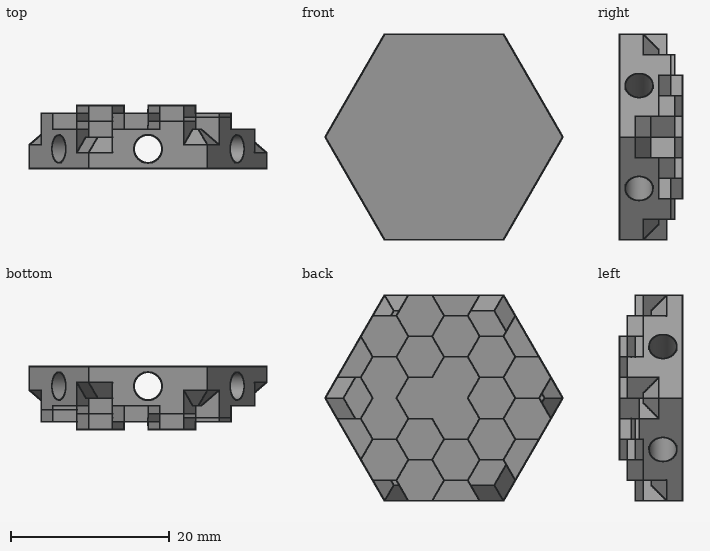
import cadquery as cq
import math

TILE_WIDTH = 30
CELL_RADIUS = TILE_WIDTH / 10
CELL_PITCH = CELL_RADIUS * math.sqrt(3)
COLUMN_PITCH = CELL_RADIUS * 1.5
FIRST_COLUMN = -TILE_WIDTH / 2
TILE_FLATS = TILE_WIDTH * math.sqrt(3) / 2

LEVEL = CELL_RADIUS / 3
BEVEL = 2 * LEVEL
HOLE_DIAMETER = 3.5
HOLE_HEIGHT = 2.5 * LEVEL

TERRAIN = [
    [5],
    [5, 5.5, 7, 5],
    [4, 6, 8, 6, 4],
    [5, 7, 6.5, 6.5, 7, 5],
    [6, 8, 6.5, 8, 6],
    [5, 6.5, 7, 7, 6.5, 5],
    [5, 4, 5],
]


def hexagon_prism(center, radius, height):
    """Hexagonal prism with corners on its X axis, standing on Y = 0."""
    return (
        cq.Workplane("XZ")
        .center(*center)
        .polygon(6, 2 * radius)
        .extrude(-height)
    )


def tile_block(height):
    return hexagon_prism((0, 0), TILE_WIDTH / 2, height)


def at_tile_corner(center):
    """True for the cells that cover one of the six tile corners."""
    corners = [
        (TILE_WIDTH / 2 * math.cos(i * math.pi / 3), TILE_WIDTH / 2 * math.sin(i * math.pi / 3))
        for i in range(6)
    ]
    return min(math.dist(center, corner) for corner in corners) < COLUMN_PITCH


def terrain_cell(center, height):
    """One cell trimmed to the tile outline, sloping down to the outline at the tile corners."""
    envelope = tile_block(height)
    if at_tile_corner(center):
        envelope = envelope.faces(">Y").chamfer(BEVEL)
    return hexagon_prism(center, CELL_RADIUS, height).intersect(envelope)


def terrain():
    lowest_rim = min(min(column) for column in TERRAIN) * LEVEL - BEVEL
    body = tile_block(lowest_rim)
    for column_index, column in enumerate(TERRAIN):
        x = FIRST_COLUMN + column_index * COLUMN_PITCH
        for cell_index, level in enumerate(column):
            z = (cell_index - (len(column) - 1) / 2) * CELL_PITCH
            body = body.union(terrain_cell((x, z), level * LEVEL))
    return body


def drill_across_flats(body):
    """Three through holes, each joining the middles of two opposite sides."""
    drill = (
        cq.Workplane("XY")
        .center(0, HOLE_HEIGHT)
        .circle(HOLE_DIAMETER / 2)
        .extrude(TILE_FLATS, both=True)
    )
    for angle in (0, 60, 120):
        body = body.cut(drill.rotate((0, 0, 0), (0, 1, 0), angle))
    return body


result = drill_across_flats(terrain().clean())